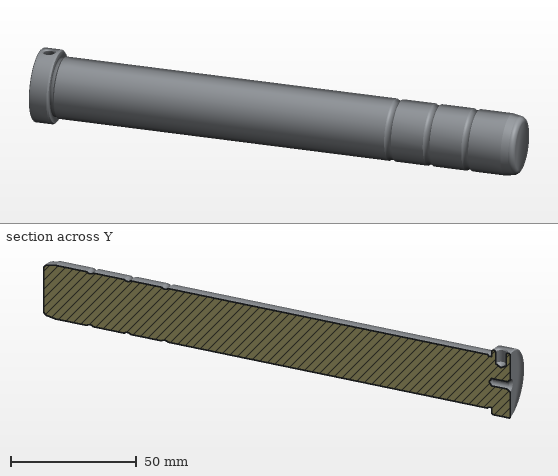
import cadquery as cq
import math

length = 200.0
head_diameter = 30.0
body_diameter = 25.0
head_length = 8.0
head_front_chamfer = 0.5
head_back_chamfer = 0.5

neck_depth = 0.5
neck_flat_end = 9.2
neck_end = 9.8

groove_first_center = 148.0
groove_pitch = 16.0
groove_count = 3
groove_width = 2.8
groove_depth = 0.5

taper_length = 3.0
taper_drop = 0.5
tip_round = 2.2

mouth_diameter = 5.5
axial_hole_diameter = 3.2
axial_hole_depth = 8.0
rim_hole_diameter = 4.5
rim_hole_depth = 6.0
drill_point_angle = 118.0

head_radius = head_diameter / 2
body_radius = body_diameter / 2
neck_radius = body_radius - neck_depth


def make_pin():
    """Revolve the half profile of the head, neck, body, grooves and tip."""
    profile = (
        cq.Workplane("XY")
        .moveTo(0, 0)
        .lineTo(0, head_radius - head_front_chamfer)
        .lineTo(head_front_chamfer, head_radius)
        .lineTo(head_length - head_back_chamfer, head_radius)
        .lineTo(head_length, head_radius - head_back_chamfer)
        .lineTo(head_length, neck_radius)
        .lineTo(neck_flat_end, neck_radius)
        .lineTo(neck_end, body_radius)
    )
    for index in range(groove_count):
        center = groove_first_center + index * groove_pitch
        profile = profile.lineTo(center - groove_width / 2, body_radius).threePointArc(
            (center, body_radius - groove_depth),
            (center + groove_width / 2, body_radius),
        )
    taper_end = length - tip_round
    taper_radius = body_radius - taper_drop
    profile = (
        profile.lineTo(taper_end - taper_length, body_radius)
        .lineTo(taper_end, taper_radius)
        .radiusArc((length, taper_radius - tip_round), tip_round)
        .lineTo(length, 0)
        .close()
    )
    return profile.revolve(360, (0, 0, 0), (1, 0, 0))


def drilled_hole(start, direction, diameter, depth):
    """Solid to cut: a blind hole with a 45 degree countersink and a conical drill point."""
    mouth = cq.Vector(*start)
    axis = cq.Vector(*direction)
    floor = mouth + axis * depth
    radius = diameter / 2
    mouth_radius = mouth_diameter / 2
    point_length = radius / math.tan(math.radians(drill_point_angle / 2))
    drill = cq.Solid.makeCylinder(radius, depth, mouth, axis)
    countersink = cq.Solid.makeCone(mouth_radius, radius, mouth_radius - radius, mouth, axis)
    point = cq.Solid.makeCone(radius, 0, point_length, floor, axis)
    return cq.Workplane(drill).union(cq.Workplane(countersink)).union(cq.Workplane(point))


axial_hole = drilled_hole((0, 0, 0), (1, 0, 0), axial_hole_diameter, axial_hole_depth)
rim_hole = drilled_hole((head_length / 2, 0, head_radius), (0, 0, -1), rim_hole_diameter, rim_hole_depth)

result = make_pin().cut(axial_hole).cut(rim_hole)